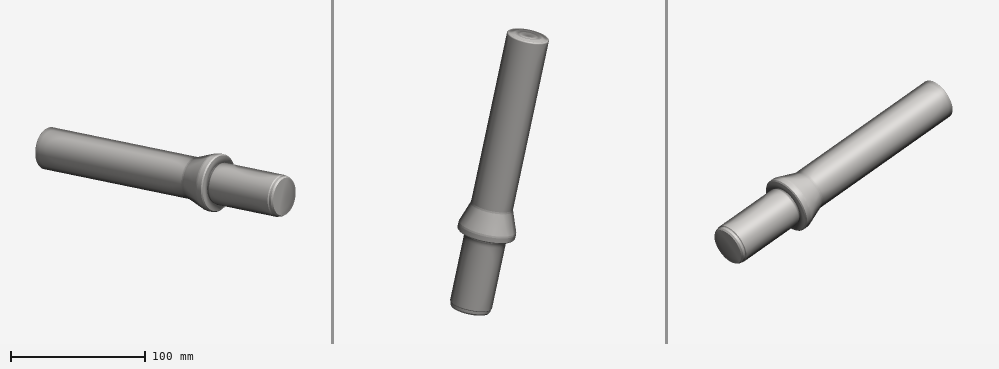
import cadquery as cq

LENGTH = 219.0
TIP_LENGTH = 2.6
CONE_START = 136.7
FLANGE_START = 153.7
FLANGE_END = 159.0
NECK_RAMP_START = 159.7
SPIGOT_START = 161.2
SPIGOT_END = 215.0
END_STEP_START = 215.7

BAR_RADIUS = 32.0 / 2
FLANGE_RADIUS = 44.0 / 2
NECK_RADIUS = 30.7 / 2
END_RADIUS = NECK_RADIUS

CONE_BLEND_RADIUS = 4.4
FLANGE_CHAMFER = 0.9
END_CHAMFER_LENGTH = 1.3
END_CHAMFER_DEPTH = 0.9

TIP_RADIUS = BAR_RADIUS
TIP_ROUND_START = 0.7
TIP_ROUND_END = 2.0
TIP_ROUND_MID = (0.9, 15.5)
TIP_FACE_RADIUS = 14.5
CREST_RADIUS = 10.5
GROOVE_RADIUS = 7.9
GROOVE_DEPTH = 0.5
DISH_RADIUS = 6.0
DISH_RIM_X = 0.2
DISH_DEPTH = 0.7


def revolve_about_x(outline):
    """Close an (x, radius) outline and turn it into a solid of revolution about X."""
    return outline.close().revolve(360, (0, 0, 0), (1, 0, 0))


def make_bar():
    """Shank, conical flange, undercut neck and stepped rear spigot."""
    outline = cq.Workplane("XY").polyline([
        (TIP_LENGTH, 0),
        (TIP_LENGTH, BAR_RADIUS),
        (CONE_START, BAR_RADIUS),
        (FLANGE_START, FLANGE_RADIUS),
        (FLANGE_END - FLANGE_CHAMFER, FLANGE_RADIUS),
        (FLANGE_END, FLANGE_RADIUS - FLANGE_CHAMFER),
        (FLANGE_END, NECK_RADIUS),
        (NECK_RAMP_START, NECK_RADIUS),
        (SPIGOT_START, BAR_RADIUS),
        (SPIGOT_END, BAR_RADIUS),
        (END_STEP_START, END_RADIUS),
        (LENGTH - END_CHAMFER_LENGTH, END_RADIUS),
        (LENGTH, END_RADIUS - END_CHAMFER_DEPTH),
        (LENGTH, 0),
    ])
    bar = revolve_about_x(outline)

    cone_ends = []
    for x in (CONE_START, FLANGE_START):
        circle_edge = bar.edges("%CIRCLE").edges(cq.NearestToPointSelector((x, 0, 0)))
        cone_ends.append(circle_edge.val())
    return bar.newObject(cone_ends).fillet(CONE_BLEND_RADIUS)


def make_tip():
    """Rounded disc that closes the front of the shank."""
    outline = (
        cq.Workplane("XY")
        .moveTo(TIP_LENGTH, 0)
        .lineTo(TIP_LENGTH, TIP_RADIUS)
        .lineTo(TIP_ROUND_END, TIP_RADIUS)
        .threePointArc(TIP_ROUND_MID, (TIP_ROUND_START, TIP_FACE_RADIUS))
        .lineTo(0, CREST_RADIUS)
        .lineTo(GROOVE_DEPTH, GROOVE_RADIUS)
        .lineTo(DISH_RIM_X, DISH_RADIUS)
        .lineTo(DISH_RIM_X + DISH_DEPTH, 0)
    )
    return revolve_about_x(outline)


bar = make_bar()
tip = make_tip()
result = cq.Compound.makeCompound([bar.val(), tip.val()])